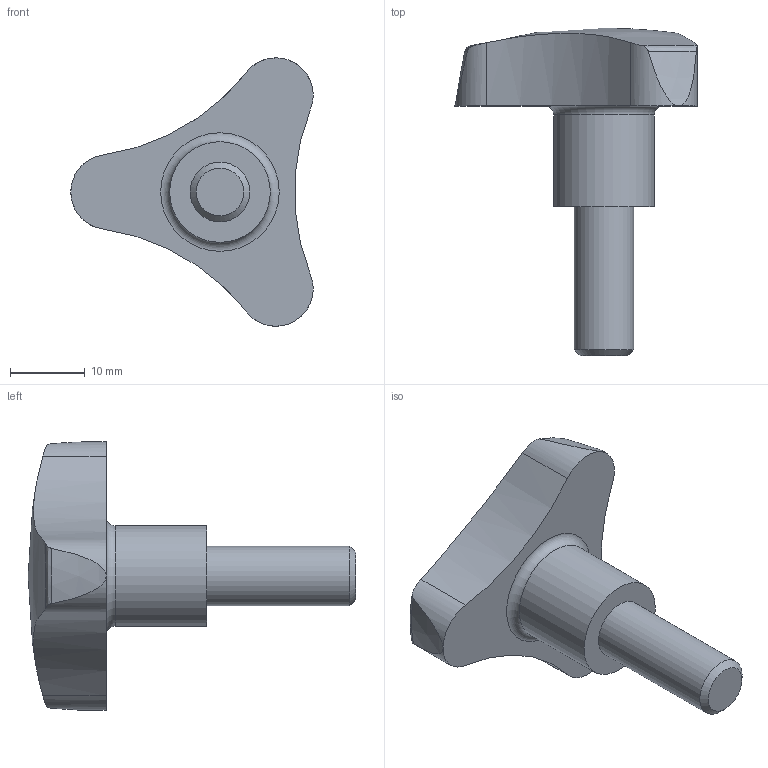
import cadquery as cq
import math


LOBE_COUNT = 3
HEAD_RADIUS = 20.0
LOBE_RADIUS = 5.0
WAIST_RADIUS = 10.0

HEAD_HEIGHT = 10.45
DOME_RADIUS = 70.0
SIDE_DRAFT = 10.0
RIM_FILLET = 1.0

HUB_DIAMETER = 13.5
HUB_LENGTH = 13.5
HUB_FILLET = 1.2
STUD_DIAMETER = 8.0
STUD_LENGTH = 20.0
STUD_CHAMFER = 0.8

LOBE_CENTRE = HEAD_RADIUS - LOBE_RADIUS
LOBE_PITCH = 360.0 / LOBE_COUNT
HALF_PITCH = LOBE_PITCH / 2
FIRST_LOBE_ANGLE = 180.0


def polar(radius, angle):
    """Point at a radius and an angle in degrees about the knob axis."""
    return (radius * math.cos(math.radians(angle)), radius * math.sin(math.radians(angle)))


def side_arc_radius():
    """Radius of the concave side that is tangent to both neighbouring lobes."""
    along = LOBE_CENTRE * math.cos(math.radians(HALF_PITCH))
    across = LOBE_CENTRE * math.sin(math.radians(HALF_PITCH))
    offset = WAIST_RADIUS - along
    return (offset**2 + across**2 - LOBE_RADIUS**2) / (2 * (LOBE_RADIUS - offset))


def tangent_point(lobe_angle, side_angle):
    """Point where a lobe meets the concave side centred on side_angle."""
    side_radius = side_arc_radius()
    lobe_x, lobe_z = polar(LOBE_CENTRE, lobe_angle)
    side_x, side_z = polar(WAIST_RADIUS + side_radius, side_angle)
    share = LOBE_RADIUS / (LOBE_RADIUS + side_radius)
    return (lobe_x + share * (side_x - lobe_x), lobe_z + share * (side_z - lobe_z))


def lobed_prism():
    """Straight-sided block with the lobed outline, from the underside up to the crown."""
    first_side = FIRST_LOBE_ANGLE - HALF_PITCH
    outline = cq.Workplane("XZ").moveTo(*tangent_point(FIRST_LOBE_ANGLE, first_side))
    for index in range(LOBE_COUNT):
        lobe = FIRST_LOBE_ANGLE + index * LOBE_PITCH
        side = lobe + HALF_PITCH
        outline = outline.threePointArc(polar(HEAD_RADIUS, lobe), tangent_point(lobe, side))
        outline = outline.threePointArc(polar(WAIST_RADIUS, side), tangent_point(lobe + LOBE_PITCH, side))
    return outline.close().extrude(-HEAD_HEIGHT)


def domed_envelope():
    """Round body with drafted sides, a spherical crown and a rounded rim."""
    dome_centre = HEAD_HEIGHT - DOME_RADIUS
    draft = math.tan(math.radians(SIDE_DRAFT))
    a = 1 + draft**2
    b = -2 * (HEAD_RADIUS * draft + dome_centre)
    c = HEAD_RADIUS**2 + dome_centre**2 - DOME_RADIUS**2
    rim_height = (-b + math.sqrt(b**2 - 4 * a * c)) / (2 * a)
    rim_radius = HEAD_RADIUS - draft * rim_height
    mid_angle = math.asin(rim_radius / DOME_RADIUS) / 2
    dome_mid = (DOME_RADIUS * math.sin(mid_angle), dome_centre + DOME_RADIUS * math.cos(mid_angle))
    body = (
        cq.Workplane("XY")
        .lineTo(HEAD_RADIUS, 0)
        .lineTo(rim_radius, rim_height)
        .threePointArc(dome_mid, (0, HEAD_HEIGHT))
        .close()
        .revolve(360, (0, 0), (0, 1))
    )
    rim = cq.selectors.BoxSelector(
        (-HEAD_RADIUS, rim_height - RIM_FILLET, -HEAD_RADIUS),
        (HEAD_RADIUS, rim_height + RIM_FILLET, HEAD_RADIUS),
    )
    return body.edges("%CIRCLE").edges(rim).fillet(RIM_FILLET)


def hub_and_stud():
    """Hub with a flared root under the head, and the chamfered stud beyond it toward -Y."""
    hub_radius = HUB_DIAMETER / 2
    stud_radius = STUD_DIAMETER / 2
    stud_end = -(HUB_LENGTH + STUD_LENGTH)
    root_radius = hub_radius + HUB_FILLET
    root_sag = HUB_FILLET * (1 - math.sqrt(0.5))
    return (
        cq.Workplane("XY")
        .lineTo(root_radius, 0)
        .threePointArc((hub_radius + root_sag, -root_sag), (hub_radius, -HUB_FILLET))
        .lineTo(hub_radius, -HUB_LENGTH)
        .lineTo(stud_radius, -HUB_LENGTH)
        .lineTo(stud_radius, stud_end + STUD_CHAMFER)
        .lineTo(stud_radius - STUD_CHAMFER, stud_end)
        .lineTo(0, stud_end)
        .close()
        .revolve(360, (0, 0), (0, 1))
    )


head = lobed_prism().intersect(domed_envelope())
result = head.union(hub_and_stud())